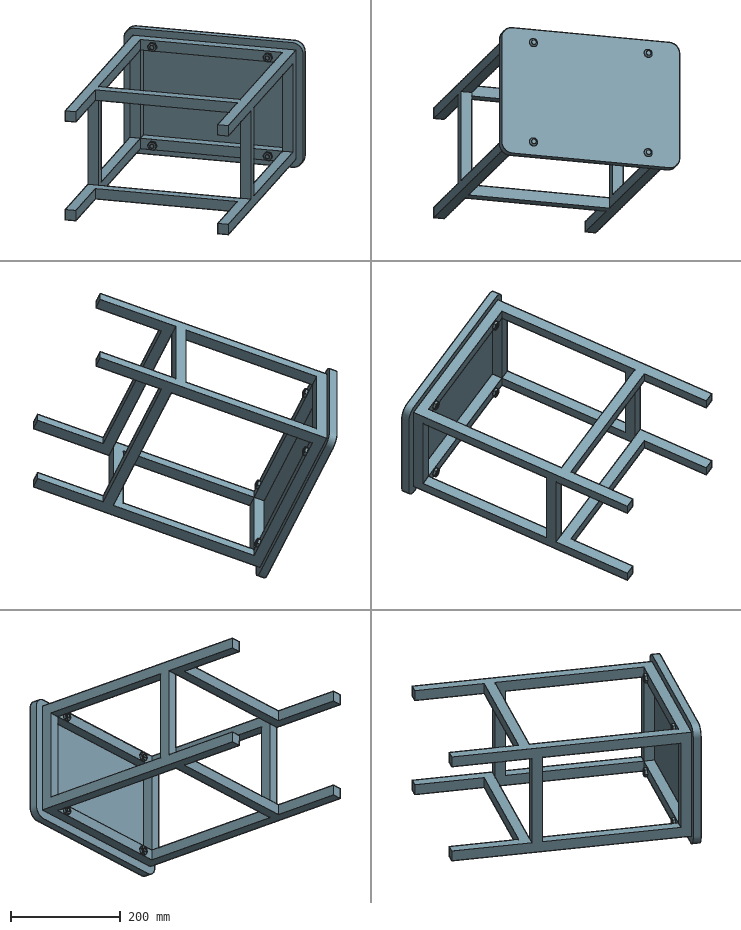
import cadquery as cq
import math


SEAT_WIDTH = 340.0
SEAT_DEPTH = 240.0
SEAT_THICKNESS = 15.0
SEAT_CORNER_RADIUS = 20.0

BAR = 20.0
FRAME_WIDTH = 309.5
FRAME_DEPTH = 210.0
FRAME_OFFSET_X = 2.0
FRAME_OFFSET_Z = 1.5
SHORT_STRETCHER_DROP = 279.5
LONG_STRETCHER_DROP = SHORT_STRETCHER_DROP + BAR

BOLT_SPACING_X = 219.0
BOLT_SPACING_Z = 190.0
SHANK_DIAMETER = 8.0
HEAD_DIAMETER = 15.5
HEAD_HEIGHT = 3.5
HEAD_FLAT_DIAMETER = 9.0
NUT_ACROSS_FLATS = 15.0
NUT_HEIGHT = 5.0
NUT_CHAMFER_ANGLE = 30
NUT_TURN = 6
BOLT_END_PROJECTION = 1.5

TOTAL_LENGTH = 468.0
LEG_LENGTH = TOTAL_LENGTH - SEAT_THICKNESS - HEAD_HEIGHT

BOLT_PLACES = [
    (side_x * BOLT_SPACING_X / 2, side_z * BOLT_SPACING_Z / 2)
    for side_x in (-1, 1)
    for side_z in (-1, 1)
]


def drill_bolt_holes(body):
    """Cut the bolt shank holes through the seat board and the rim bars."""
    for x, z in BOLT_PLACES:
        hole = cq.Solid.makeCylinder(
            SHANK_DIAMETER / 2,
            BAR + SEAT_THICKNESS,
            cq.Vector(x, -BAR, z),
            cq.Vector(0, 1, 0),
        )
        body = body.cut(cq.Workplane(hole))
    return body.solids()


def make_seat():
    """Flat board with rounded corners."""
    board = (
        cq.Workplane("XY")
        .box(SEAT_WIDTH, SEAT_THICKNESS, SEAT_DEPTH)
        .edges("|Y")
        .fillet(SEAT_CORNER_RADIUS)
        .translate((0, SEAT_THICKNESS / 2, 0))
    )
    return drill_bolt_holes(board)


def make_bar(length_x, length_y, length_z, x, y_top, z):
    """Bar centred at x and z, reaching from y_top towards the leg ends."""
    return (
        cq.Workplane("XY")
        .box(length_x, length_y, length_z)
        .translate((FRAME_OFFSET_X + x, y_top - length_y / 2, FRAME_OFFSET_Z + z))
    )


def make_frame():
    """Four legs, a rim under the seat and two pairs of stretchers, welded into one body."""
    leg_x = (FRAME_WIDTH - BAR) / 2
    leg_z = (FRAME_DEPTH - BAR) / 2
    bars = []
    for side in (-1, 1):
        for drop in (0, LONG_STRETCHER_DROP):
            bars.append(make_bar(FRAME_WIDTH, BAR, BAR, 0, -drop, side * leg_z))
        for drop in (0, SHORT_STRETCHER_DROP):
            bars.append(make_bar(BAR, BAR, FRAME_DEPTH, side * leg_x, -drop, 0))

    frame = make_bar(BAR, LEG_LENGTH, BAR, -leg_x, 0, -leg_z)
    for side_x, side_z in ((-1, 1), (1, -1), (1, 1)):
        bars.append(make_bar(BAR, LEG_LENGTH, BAR, side_x * leg_x, 0, side_z * leg_z))
    for bar in bars:
        frame = frame.union(bar)
    return drill_bolt_holes(frame.clean())


def make_bolt(x, z):
    """Bolt with a conical, flat-topped head on the seat and its end just past the nut."""
    head_radius = HEAD_DIAMETER / 2
    shank_radius = SHANK_DIAMETER / 2
    end_y = -BAR - NUT_HEIGHT - BOLT_END_PROJECTION
    head_tip_y = SEAT_THICKNESS + HEAD_HEIGHT
    flat_radius = HEAD_FLAT_DIAMETER / 2
    return (
        cq.Workplane("XY")
        .moveTo(0, end_y)
        .lineTo(shank_radius, end_y)
        .lineTo(shank_radius, SEAT_THICKNESS)
        .lineTo(head_radius, SEAT_THICKNESS)
        .lineTo(flat_radius, head_tip_y)
        .lineTo(0, head_tip_y)
        .close()
        .revolve(360, (0, 0), (0, 1))
        .translate((x, 0, z))
    )


def make_nut(x, z):
    """Hexagon nut against the rim bar, with its outer corners chamfered."""
    across_corners = NUT_ACROSS_FLATS / math.cos(math.pi / 6)
    corner_radius = across_corners / 2
    flat_radius = NUT_ACROSS_FLATS / 2
    chamfer_height = (corner_radius - flat_radius) * math.tan(math.radians(NUT_CHAMFER_ANGLE))
    outer_y = -BAR - NUT_HEIGHT
    hexagon = (
        cq.Workplane("XZ", origin=(0, -BAR, 0))
        .polygon(6, across_corners)
        .circle(SHANK_DIAMETER / 2)
        .extrude(NUT_HEIGHT)
        .rotate((0, 0, 0), (0, 1, 0), NUT_TURN)
    )
    chamfer_envelope = (
        cq.Workplane("XY")
        .moveTo(0, -BAR)
        .lineTo(corner_radius, -BAR)
        .lineTo(corner_radius, outer_y + chamfer_height)
        .lineTo(flat_radius, outer_y)
        .lineTo(0, outer_y)
        .close()
        .revolve(360, (0, 0), (0, 1))
    )
    return hexagon.intersect(chamfer_envelope).translate((x, 0, z)).solids()


seat = make_seat()
frame = make_frame()
bolts = [make_bolt(x, z) for x, z in BOLT_PLACES]
nuts = [make_nut(x, z) for x, z in BOLT_PLACES]

result = cq.Compound.makeCompound(
    [seat.val(), frame.val()]
    + [bolt.val() for bolt in bolts]
    + [nut.val() for nut in nuts]
)